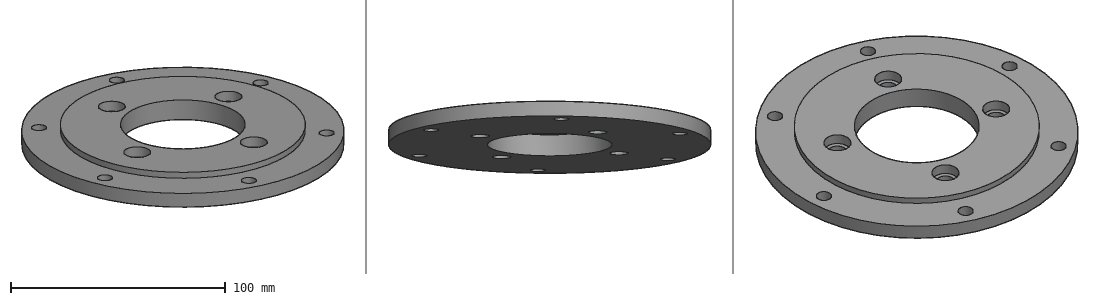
import cadquery as cq

flange_diameter = 150.0
total_height = 10.0
register_height = 3.0
flange_thickness = total_height - register_height
register_diameter = 114.0
bore_diameter = 58.0

rim_hole_count = 6
rim_hole_diameter = 7.0
rim_bolt_circle_radius = 67.0
rim_first_angle = 90.0

inner_hole_count = 4
inner_hole_diameter = 8.5
inner_bolt_circle_radius = 39.25
inner_first_angle = 0.0
counterbore_diameter = 12.5
counterbore_depth = 5.0

FULL_TURN = 360.0


def make_body():
    """Stepped disc: wide flange at the bottom, register on top."""
    flange = cq.Workplane("XY").circle(flange_diameter / 2).extrude(flange_thickness)
    return flange.faces(">Z").workplane().circle(register_diameter / 2).extrude(register_height)


def hole_circle(diameter, bolt_radius, first_angle, count, bottom):
    """Ring of equally spaced cylinders running from `bottom` up to the register face."""
    return (
        cq.Workplane("XY")
        .workplane(offset=bottom)
        .polarArray(bolt_radius, first_angle, FULL_TURN, count)
        .circle(diameter / 2)
        .extrude(total_height - bottom)
    )


def cut_bore(body):
    bore = cq.Workplane("XY").circle(bore_diameter / 2).extrude(total_height)
    return body.cut(bore)


def cut_rim_holes(body):
    return body.cut(
        hole_circle(rim_hole_diameter, rim_bolt_circle_radius, rim_first_angle, rim_hole_count, 0)
    )


def cut_counterbored_holes(body):
    ring = (inner_bolt_circle_radius, inner_first_angle, inner_hole_count)
    through_holes = hole_circle(inner_hole_diameter, *ring, 0)
    counterbores = hole_circle(counterbore_diameter, *ring, total_height - counterbore_depth)
    return body.cut(through_holes).cut(counterbores)


result = cut_counterbored_holes(cut_rim_holes(cut_bore(make_body())))